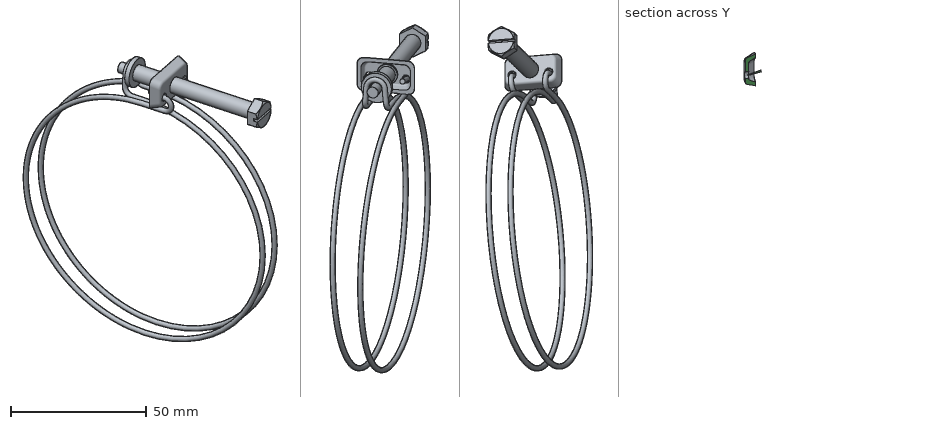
import cadquery as cq
import math


wire_diameter = 2.0
hoop_outer_diameter = 104.0
inner_strand_y = 4.2
outer_strand_y = 6.3

bolt_z = 58.9
shank_diameter = 6.3
shank_start_x = -6.0
flange_thickness = 1.9
flange_diameter = 11.5
neck_end_x = -13.1
neck_diameter = 4.2
head_start_x = 44.8
head_thickness = 4.3
head_across_flats = 10.0
head_chamfer_length = 0.7
head_chamfer_depth = 0.9
slot_width = 1.0
slot_depth = 1.6

plate_back_x = 6.0
plate_thickness = 4.1
plate_width = 22.0
plate_height = 12.9
plate_corner_radius = 2.6
plate_taper = 17.0
plate_edge_radius = 1.0
recess_depth = 2.7
recess_rim = 1.5
recess_corner_radius = 2.6
recess_floor_radius = 0.6
collar_diameter = 7.7
collar_height = 0.9
wire_hole_radius = 1.5
wire_hole_y = 7.0
wire_hole_drop = 1.5

loop_radius = 3.5
loop_bend_radius = 3.3
hook_start_x = 9.7
hook_radius = 3.0
hook_lean = 5.0
hook_rise = 10.0
hook_tip_length = 6.6

wire_radius = wire_diameter / 2
hoop_radius = (hoop_outer_diameter - wire_diameter) / 2
flange_start_x = shank_start_x - flange_thickness
head_end_x = head_start_x + head_thickness
head_corner_radius = head_across_flats / math.sqrt(3)
plate_front_x = plate_back_x + plate_thickness
recess_floor_x = plate_back_x + recess_depth
loop_x = flange_start_x - wire_radius


def across_x(x):
    """Work plane at x, centred on the bolt axis: local x is Y, local y is Z, normal is +X."""
    return cq.Workplane("YZ", origin=(x, 0, bolt_z))


def cylinder_along_bolt(start_x, end_x, diameter):
    return across_x(start_x).circle(diameter / 2).extrude(end_x - start_x)


def make_bolt_head():
    """Hexagon head with corners up and down, a chamfered outer end and a screwdriver slot."""
    hexagon = (
        across_x(head_start_x)
        .transformed(rotate=(0, 0, 90))
        .polygon(6, 2 * head_corner_radius)
        .extrude(head_thickness)
    )
    chamfered_envelope = cylinder_along_bolt(head_start_x, head_end_x, 2 * head_corner_radius)
    chamfered_envelope = chamfered_envelope.faces(">X").chamfer(head_chamfer_length, head_chamfer_depth)
    slot = across_x(head_end_x).rect(2 * head_across_flats, slot_width).extrude(-slot_depth)
    return hexagon.intersect(chamfered_envelope).cut(slot)


def make_bolt():
    neck = cylinder_along_bolt(neck_end_x, flange_start_x, neck_diameter)
    flange = cylinder_along_bolt(flange_start_x, shank_start_x, flange_diameter)
    shank = cylinder_along_bolt(shank_start_x, head_start_x, shank_diameter)
    return neck.union(flange).union(shank).union(make_bolt_head())


def tapered_block(width, height, depth, corner_radius):
    """Rectangular block with round corners that narrows along +X from the open face of the plate."""
    block = across_x(plate_back_x).rect(width, height).extrude(depth, taper=plate_taper)
    return block.edges("not #X").fillet(corner_radius)


def make_plate():
    """Dished nut plate with a collar around the bolt hole and two wire holes."""
    body = tapered_block(plate_width, plate_height, plate_thickness, plate_corner_radius)
    body = body.faces(">X").edges().fillet(plate_edge_radius)
    recess = tapered_block(
        plate_width - 2 * recess_rim, plate_height - 2 * recess_rim, recess_depth, recess_corner_radius
    )
    recess = recess.faces(">X").edges().fillet(recess_floor_radius)
    collar = cylinder_along_bolt(recess_floor_x - collar_height, recess_floor_x, collar_diameter)
    bolt_hole = cylinder_along_bolt(plate_back_x, plate_front_x, shank_diameter)
    wire_holes = (
        across_x(plate_back_x)
        .pushPoints([(side * wire_hole_y, -wire_hole_drop) for side in (-1, 1)])
        .circle(wire_hole_radius)
        .extrude(plate_thickness)
    )
    return body.cut(recess).union(collar).cut(bolt_hole).cut(wire_holes)


def leaning_point(x, base_y, height, lean):
    """Point at a height above the hoop top, in a plane that holds the X direction and leans toward +Y."""
    return cq.Vector(x, base_y + height * math.sin(lean), hoop_radius + height * math.cos(lean))


def arc_point(center_x, base_y, radius, angle, lean):
    """Point of an arc that touches the hoop top; angle is counted up from the lowest point toward +X."""
    x = center_x + radius * math.sin(angle)
    return leaning_point(x, base_y, radius * (1 - math.cos(angle)), lean)


def make_half_wire():
    """Wire on the +Y side, from the top of the loop, once round the hoop, to the hook tip."""
    bolt_rise = bolt_z - hoop_radius
    leg_spread = math.acos(loop_radius / math.hypot(inner_strand_y, bolt_rise))
    leg_spread -= math.atan2(bolt_rise, inner_strand_y)
    loop_end_angle = leg_spread
    loop_middle_angle = (loop_end_angle + math.pi / 2) / 2

    def loop_point(angle):
        return cq.Vector(loop_x, loop_radius * math.cos(angle), bolt_z + loop_radius * math.sin(angle))

    bend_end_x = loop_x + loop_bend_radius

    def bend_point(angle):
        return arc_point(bend_end_x, inner_strand_y, loop_bend_radius, angle, -leg_spread)

    lean = math.radians(hook_lean)
    rise = math.radians(hook_rise)

    def hook_point(angle):
        return arc_point(hook_start_x, outer_strand_y, hook_radius, angle, lean)

    hook_end_angle = math.pi - rise
    hook_end = hook_point(hook_end_angle)
    hook_end_height = hook_radius * (1 + math.cos(rise))
    hook_tip = leaning_point(
        hook_end.x - hook_tip_length * math.cos(rise),
        outer_strand_y,
        hook_end_height + hook_tip_length * math.sin(rise),
        lean,
    )

    hoop_top_inner = cq.Vector(0, inner_strand_y, hoop_radius)
    hoop_side_out = cq.Vector(hoop_radius, inner_strand_y, 0)
    hoop_bottom = cq.Vector(0, inner_strand_y, -hoop_radius)
    hoop_side_back = cq.Vector(-hoop_radius, (inner_strand_y + outer_strand_y) / 2, 0)
    hoop_top_outer = cq.Vector(0, outer_strand_y, hoop_radius)

    loop_top = loop_point(math.pi / 2)
    edges = [
        cq.Edge.makeThreePointArc(loop_top, loop_point(loop_middle_angle), loop_point(loop_end_angle)),
        cq.Edge.makeLine(loop_point(loop_end_angle), bend_point(-math.pi / 2)),
        cq.Edge.makeThreePointArc(bend_point(-math.pi / 2), bend_point(-math.pi / 4), bend_point(0)),
        cq.Edge.makeLine(bend_point(0), hoop_top_inner),
        cq.Edge.makeThreePointArc(hoop_top_inner, hoop_side_out, hoop_bottom),
        cq.Edge.makeThreePointArc(hoop_bottom, hoop_side_back, hoop_top_outer),
        cq.Edge.makeLine(hoop_top_outer, hook_point(0)),
        cq.Edge.makeThreePointArc(hook_point(0), hook_point(hook_end_angle / 2), hook_end),
        cq.Edge.makeLine(hook_end, hook_tip),
    ]
    path = cq.Wire.assembleEdges(edges)
    section = cq.Workplane("XZ", origin=loop_top.toTuple()).circle(wire_radius)
    return section.sweep(path)


def make_wire():
    half = make_half_wire()
    return half.union(half.mirror("XZ"))


bolt = make_bolt()
plate = make_plate()
wire = make_wire()

result = cq.Compound.makeCompound([*bolt.solids().vals(), *plate.solids().vals(), *wire.solids().vals()])